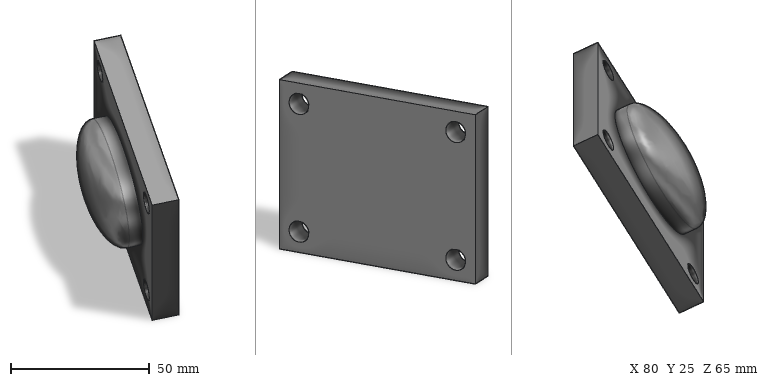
import cadquery as cq

plate_width = 80.0
plate_height = 65.0
plate_thickness = 10.0

hole_diameter = 8.0
hole_edge_distance = 8.0

boss_half_width = 27.0
boss_half_height = 18.75
boss_depth = 5.0
dome_depth = 10.0
boss_overlap = 1.0


def make_plate():
    """Rectangular plate behind the Y = 0 plane, with four corner holes."""
    hole_spacing_x = plate_width - 2 * hole_edge_distance
    hole_spacing_z = plate_height - 2 * hole_edge_distance
    return (
        cq.Workplane("XZ", origin=(0, plate_thickness, 0))
        .rect(plate_width, plate_height)
        .extrude(plate_thickness)
        .faces("<Y")
        .workplane(origin=(0, 0, 0))
        .rect(hole_spacing_x, hole_spacing_z, forConstruction=True)
        .vertices()
        .hole(hole_diameter)
    )


def make_boss():
    """Straight elliptical cylinder standing out toward -Y."""
    return (
        cq.Workplane("XZ", origin=(0, boss_overlap, 0))
        .ellipse(boss_half_width, boss_half_height)
        .extrude(boss_depth + boss_overlap)
    )


def make_dome():
    """Half ellipsoid: a unit hemisphere stretched along each axis, seated on the boss."""
    hemisphere = cq.Solid.makeSphere(1.0, angleDegrees1=0, angleDegrees2=90)
    facing_front = hemisphere.rotate(cq.Vector(0, 0, 0), cq.Vector(1, 0, 0), 90)
    stretch = cq.Matrix(
        [
            [boss_half_width, 0, 0, 0],
            [0, dome_depth, 0, -boss_depth],
            [0, 0, boss_half_height, 0],
        ]
    )
    return cq.Workplane(obj=facing_front.transformGeometry(stretch))


result = make_plate().union(make_boss()).union(make_dome())